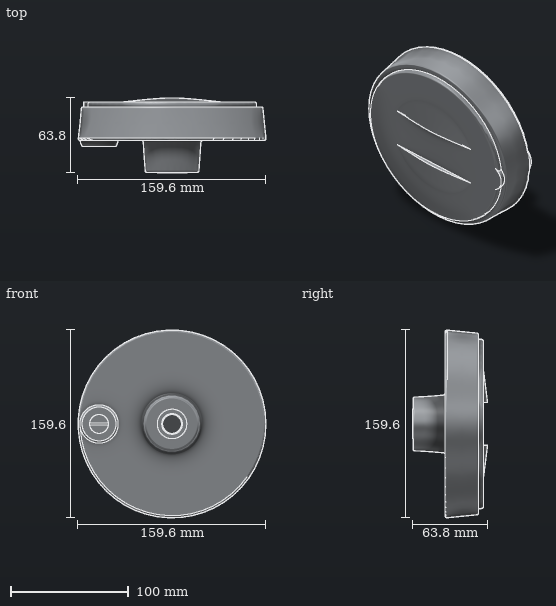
import cadquery as cq

rim_front_radius = 80.0
rim_back_radius = 77.1
rim_back = 28.5
rim_front_round = 1.9
rim_back_round = 1.6

cover_radius = 72.0
cover_back = 32.9
cover_round = 2.4
cone_radius = 44.7
cone_rise_per_radius = 0.125
channel_width = 36.0

hub_root_radius = 24.5
hub_end_radius = 22.8
hub_length = 27.1
hub_end_round = 1.6
hub_root_round = 1.6
bushing_diameter = 25.0
bushing_projection = 0.5
bore_diameter = 16.0
bore_mouth_diameter = 17.5
bore_depth = 31.9

handle_x = -62.0
mount_diameter = 26.2
knob_base_radius = 16.3
knob_bulge_radius = 15.6
knob_face_radius = 14.4
knob_height = 5.1
screw_diameter = 16.0
screw_recess = 0.3
screw_slot_width = 1.8
screw_slot_depth = 1.6


def revolve_about_y(profile):
    """Turn a closed (radius, Y) profile around the Y axis."""
    return profile.close().revolve(360, (0, 0, 0), (0, 1, 0))


def cylinder_along_y(diameter, start, end):
    """Cylinder on the Y axis between two Y positions, start below end."""
    disc = cq.Workplane("XZ", origin=(0, end, 0)).circle(diameter / 2)
    return disc.extrude(end - start)


def make_rim():
    rim = revolve_about_y(
        cq.Workplane("XY")
        .lineTo(rim_front_radius, 0)
        .lineTo(rim_back_radius, rim_back)
        .lineTo(0, rim_back)
    )
    return rim.faces("<Y").edges().fillet(rim_front_round).faces(">Y").edges().fillet(rim_back_round)


def make_cover():
    disc = cylinder_along_y(2 * cover_radius, rim_back, cover_back)
    return disc.faces(">Y").edges().fillet(cover_round)


def make_split_cone():
    cone_rise = cone_radius * cone_rise_per_radius
    cone = revolve_about_y(
        cq.Workplane("XY")
        .moveTo(0, rim_back)
        .lineTo(cone_radius, rim_back)
        .lineTo(cone_radius, cover_back)
        .lineTo(0, cover_back + cone_rise)
    )
    channel = (
        cq.Workplane("XY")
        .box(2 * cone_radius, cone_rise, channel_width, centered=(True, False, True))
        .translate((0, cover_back, 0))
    )
    return cone.cut(channel)


def make_hub():
    hub = revolve_about_y(
        cq.Workplane("XY")
        .lineTo(hub_root_radius + hub_root_round, 0)
        .radiusArc((hub_root_radius, -hub_root_round), -hub_root_round)
        .lineTo(hub_end_radius, -hub_length)
        .lineTo(0, -hub_length)
    )
    hub = hub.faces("<Y").edges().fillet(hub_end_round)
    bushing = cylinder_along_y(bushing_diameter, -hub_length - bushing_projection, 0)
    return hub.union(bushing)


def make_bore():
    """Blind bore with a chamfered mouth, open at the front of the hub."""
    mouth = -hub_length - bushing_projection
    chamfer = (bore_mouth_diameter - bore_diameter) / 2
    return revolve_about_y(
        cq.Workplane("XY")
        .moveTo(0, mouth)
        .lineTo(bore_mouth_diameter / 2, mouth)
        .lineTo(bore_diameter / 2, mouth + chamfer)
        .lineTo(bore_diameter / 2, mouth + bore_depth)
        .lineTo(0, mouth + bore_depth)
    )


def make_handle_mount():
    """Bulged knob at the front, slotted screw in it, round boss at the back."""
    knob = revolve_about_y(
        cq.Workplane("XY")
        .moveTo(0, rim_front_round)
        .lineTo(knob_base_radius, rim_front_round)
        .lineTo(knob_base_radius, 0)
        .threePointArc((knob_bulge_radius, -knob_height / 2), (knob_face_radius, -knob_height))
        .lineTo(0, -knob_height)
    )
    screw_face = -knob_height + screw_recess
    screw_pocket = cylinder_along_y(screw_diameter, -knob_height, screw_face)
    screw_slot = (
        cq.Workplane("XY")
        .box(screw_diameter, screw_slot_depth, screw_slot_width, centered=(True, False, True))
        .translate((0, screw_face, 0))
        .intersect(cylinder_along_y(screw_diameter, -knob_height, 0))
    )
    boss = cylinder_along_y(mount_diameter, rim_back, cover_back)
    mount = knob.cut(screw_pocket).cut(screw_slot).union(boss)
    return mount.translate((handle_x, 0, 0))


result = (
    make_rim()
    .union(make_cover())
    .union(make_split_cone())
    .union(make_hub())
    .union(make_handle_mount())
    .cut(make_bore())
)